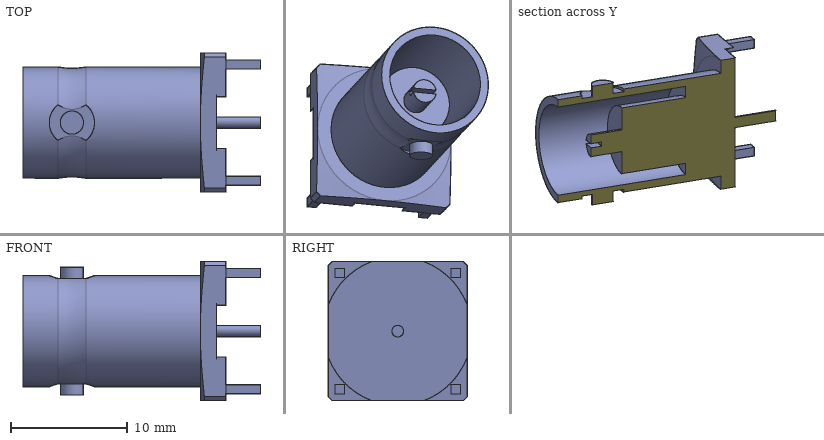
import cadquery as cq
import math


barrel_diameter = 9.6
bore_diameter = 8.15
barrel_length = 15.3

stud_x = 4.23
groove_width = 2.42
groove_depth = 0.11

stud_diameter = 2.0
stud_span = 11.05
seat_diameter = 3.9
seat_height = 4.55

flange_size = 12.0
flange_thickness = 2.2
flange_corner_chamfer = 0.35
flange_cone_drop = 0.35
recess_diameter = 12.8
recess_depth = 0.8

bore_depth = 12.0
insulator_diameter = 6.15
insulator_front_x = 6.0
contact_diameter = 2.05
contact_front_x = 3.1
contact_slot_width = 0.35
contact_slot_depth = 1.0

pin_length = 3.0
corner_pin_size = 0.8
corner_pin_pitch = 10.0
centre_pin_diameter = 1.0

flange_back_x = barrel_length + flange_thickness
recess_floor_x = flange_back_x - recess_depth
pin_end_x = flange_back_x + pin_length
half_flange = flange_size / 2


def plane_at(x):
    """YZ plane at the given X, with its normal along +X."""
    return cq.Workplane("YZ", origin=(x, 0, 0))


def axial_cylinder(diameter, start_x, end_x):
    return plane_at(start_x).circle(diameter / 2).extrude(end_x - start_x)


def revolve_about_axis(profile):
    """Turn a closed (X, radius) profile about the connector axis."""
    return profile.revolve(360, (0, 0, 0), (1, 0, 0))


def make_barrel():
    radius = barrel_diameter / 2
    profile = (
        cq.Workplane("XY")
        .lineTo(0, radius)
        .lineTo(stud_x - groove_width / 2, radius)
        .threePointArc((stud_x, radius - groove_depth), (stud_x + groove_width / 2, radius))
        .lineTo(barrel_length, radius)
        .lineTo(barrel_length, 0)
        .close()
    )
    return revolve_about_axis(profile)


def make_flange():
    """Square plate: front corners turned back by a shallow cone, round recess behind.

    The recess is wider than the plate, so it opens on all four sides and leaves a foot at each corner.
    """
    plate = (
        plane_at(barrel_length)
        .rect(flange_size, flange_size)
        .extrude(flange_thickness)
        .edges("|X")
        .chamfer(flange_corner_chamfer)
    )
    corner_reach = math.hypot(half_flange, half_flange - flange_corner_chamfer)
    cone_profile = (
        cq.Workplane("XY")
        .moveTo(barrel_length, 0)
        .lineTo(barrel_length, half_flange)
        .lineTo(barrel_length + flange_cone_drop, corner_reach)
        .lineTo(flange_back_x, corner_reach)
        .lineTo(flange_back_x, 0)
        .close()
    )
    flange = plate.intersect(revolve_about_axis(cone_profile))
    return flange.cut(axial_cylinder(recess_diameter, recess_floor_x, flange_back_x))


def cut_stud_seats(body):
    """Mill a round flat on the top and bottom of the barrel."""
    for side in (1, -1):
        cutter = (
            cq.Workplane("XY", origin=(stud_x, 0, side * seat_height))
            .circle(seat_diameter / 2)
            .extrude(side * (barrel_diameter / 2 - seat_height))
        )
        body = body.cut(cutter)
    return body


def add_studs(body):
    """Add a stud on the top and bottom seats, rooted in the middle of the barrel wall."""
    mean_wall_diameter = (barrel_diameter + bore_diameter) / 2
    wall_middle = mean_wall_diameter / 2
    for side in (1, -1):
        stud = (
            cq.Workplane("XY", origin=(stud_x, 0, side * wall_middle))
            .circle(stud_diameter / 2)
            .extrude(side * (stud_span / 2 - wall_middle))
        )
        body = body.union(stud)
    return body


def make_contact():
    contact = axial_cylinder(contact_diameter, contact_front_x, bore_depth)
    slot = (
        plane_at(contact_front_x)
        .rect(contact_diameter, contact_slot_width)
        .extrude(contact_slot_depth)
    )
    return contact.cut(slot)


def make_pins():
    pins = axial_cylinder(centre_pin_diameter, recess_floor_x, pin_end_x)
    corner_pins = (
        plane_at(flange_back_x)
        .rect(corner_pin_pitch, corner_pin_pitch, forConstruction=True)
        .vertices()
        .rect(corner_pin_size, corner_pin_size)
        .extrude(pin_length)
    )
    return pins.union(corner_pins)


body = make_barrel().union(make_flange())
body = cut_stud_seats(body)
body = add_studs(body)
body = body.cut(axial_cylinder(bore_diameter, 0, bore_depth))
body = body.union(axial_cylinder(insulator_diameter, insulator_front_x, bore_depth))
body = body.union(make_contact())
result = body.union(make_pins())